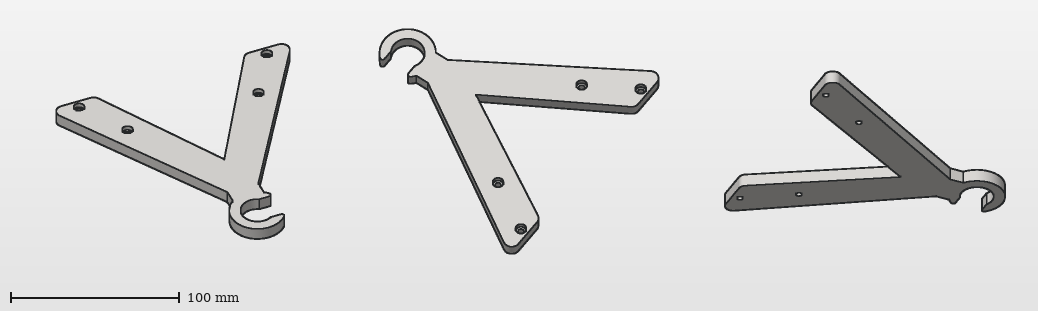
import cadquery as cq
import math

thickness = 8.0
overall_length = 148.31
overall_width = 149.77

hook_outer_radius = 16.75
hook_inner_radius = 10.0
mouth_width = 17.32
tip_radius = 1.5

neck_half_width = 10.0
neck_start_x = -22.0
crotch_x = -49.8
crotch_angle = math.radians(30.6)
arm_corner_radius = 5.0
arm_end_x = hook_outer_radius - overall_length

screw_diameter = 3.5
head_diameter = 6.5
head_depth = 3.0
end_hole_x = arm_end_x + arm_corner_radius
end_hole_y = 60.5
hole_spacing_x = 30.0
hole_spacing_y = 18.3


def outer_edge_angle():
    """Slope angle of an arm's outer edge, tangent to the end corner's arc."""
    run = neck_start_x - (arm_end_x + arm_corner_radius)
    rise = overall_width / 2 - arm_corner_radius - neck_half_width
    direct_angle = math.atan2(rise, run)
    return direct_angle + math.asin(arm_corner_radius / math.hypot(run, rise))


def make_arms():
    """V-shaped arms and the neck, with rounded arm ends."""
    end_outer_y = neck_half_width + (neck_start_x - arm_end_x) * math.tan(outer_edge_angle())
    end_inner_y = (crotch_x - arm_end_x) * math.tan(crotch_angle)
    outline = [
        (crotch_x, 0),
        (arm_end_x, end_inner_y),
        (arm_end_x, end_outer_y),
        (neck_start_x, neck_half_width),
        (0, neck_half_width),
        (0, -neck_half_width),
        (neck_start_x, -neck_half_width),
        (arm_end_x, -end_outer_y),
        (arm_end_x, -end_inner_y),
    ]
    plate = cq.Workplane("XY").polyline(outline).close().extrude(thickness)
    return plate.edges("|Z and <X").fillet(arm_corner_radius)


def add_hook(body):
    """Round hook whose eye opens towards +Y through a straight mouth with rounded tips."""
    disc = cq.Workplane("XY").circle(hook_outer_radius).extrude(thickness)
    eye = cq.Workplane("XY").circle(hook_inner_radius).extrude(thickness)
    mouth = (
        cq.Workplane("XY")
        .center(0, hook_outer_radius / 2)
        .rect(mouth_width, hook_outer_radius)
        .extrude(thickness)
    )
    hook = body.union(disc).cut(eye).cut(mouth)
    tip_y = math.sqrt(hook_outer_radius**2 - (mouth_width / 2) ** 2)
    for side in (-1, 1):
        tip = (side * mouth_width / 2, tip_y, thickness / 2)
        hook = hook.edges(cq.selectors.NearestToPointSelector(tip)).fillet(tip_radius)
    return hook


def cut_screw_holes(body):
    """Two counterbored screw holes in each arm."""
    inner_hole_x = end_hole_x + hole_spacing_x
    inner_hole_y = end_hole_y - hole_spacing_y
    centres = []
    for side in (-1, 1):
        centres.append((end_hole_x, side * end_hole_y))
        centres.append((inner_hole_x, side * inner_hole_y))
    return (
        body.faces(">Z")
        .workplane(origin=(0, 0, thickness))
        .pushPoints(centres)
        .cboreHole(screw_diameter, head_diameter, head_depth)
    )


result = cut_screw_holes(add_hook(make_arms()))